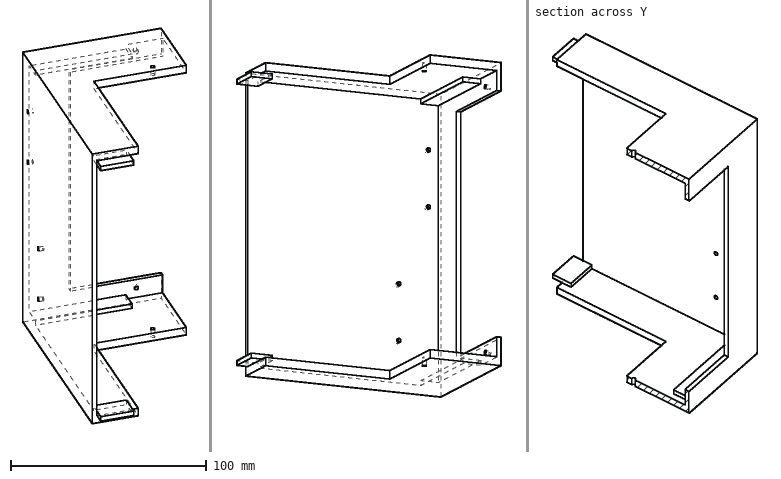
import cadquery as cq

height = 160.0
depth = 75.0
body_length = 110.0
total_length = 116.0

wall = 2.5
plate = 4.5

arm_width = 40.0
spine_depth = 25.0
arm_height = 15.0

tab_width = 18.0
tab_overlap = 5.8

strip_width = 10.0
strip_end_y = 55.0

hole_diameter = 2.0
front_holes = [(8.0, 129.1), (8.0, 99.0), (24.6, 56.8), (24.6, 26.9)]
side_hole_y = 60.8
side_hole_z = 10.0
plate_hole_x = 35.7
plate_hole_y = 58.2


def box(x0, y0, z0, dx, dy, dz):
    """Block with its lowest corner at (x0, y0, z0)."""
    return cq.Workplane("XY").box(dx, dy, dz, centered=False).translate((x0, y0, z0))


def end_plate():
    """Lower L-shaped plate with one hole through its arm."""
    outline = [
        (0, 0),
        (body_length, 0),
        (body_length, spine_depth),
        (arm_width, spine_depth),
        (arm_width, depth),
        (0, depth),
    ]
    hole = cq.Workplane("XY").center(plate_hole_x, plate_hole_y).circle(hole_diameter / 2).extrude(plate)
    return cq.Workplane("XY").polyline(outline).close().extrude(plate).cut(hole)


def lower_end():
    """End plate with its tab and the strip along the side wall."""
    tab_x = body_length - tab_overlap
    tab = box(tab_x, wall, plate, total_length - tab_x, tab_width, wall)
    strip = box(wall, wall, plate, strip_width, strip_end_y - wall, wall)
    return end_plate().union(tab).union(strip)


def front_wall():
    """Front sheet with four through holes."""
    holes = cq.Workplane("XZ").pushPoints(front_holes).circle(hole_diameter / 2).extrude(-wall)
    return box(0, 0, 0, body_length, wall, height).cut(holes)


def side_wall():
    """C-shaped side sheet with one hole in each arm."""
    window = box(0, spine_depth, arm_height, wall, depth - spine_depth, height - 2 * arm_height)
    hole_centres = [(side_hole_y, side_hole_z), (side_hole_y, height - side_hole_z)]
    holes = cq.Workplane("YZ").pushPoints(hole_centres).circle(hole_diameter / 2).extrude(wall)
    return box(0, 0, 0, wall, depth, height).cut(window).cut(holes)


bottom = lower_end()
top = bottom.mirror("XY", (0, 0, height / 2))
result = front_wall().union(side_wall()).union(bottom).union(top)